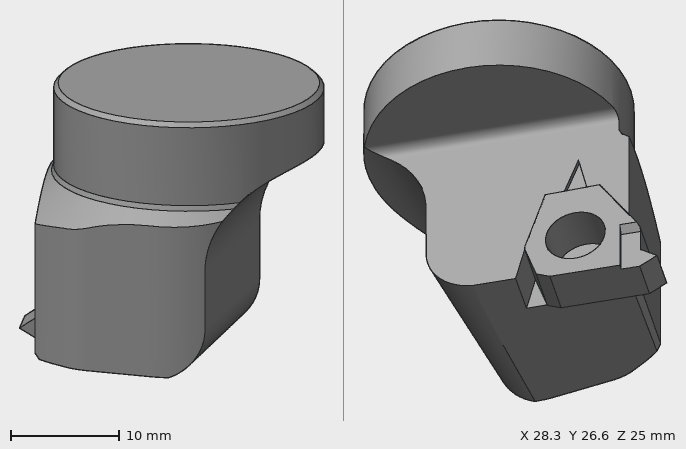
import cadquery as cq
import math

cap_radius = 12.5
cap_chamfer = 0.43
cap_height = 7.97
neck_end = 8.45
neck_end_radius = 12.7
cone_spread = 1.25
total_height = 25.0

front_y = -14.1
bottom_z = -24.47
bottom_rise_z = -24.18
bottom_deep_y = 4.55
flank_chamfer = 0.7
side_x = 5.58
throat_radius = 8.5
throat_start_z = -13.9
side_corner_radius = 4.82

rake_angle = 10
rake_x = -13.4
rake_y = 0.7
roof_z = -6.0
roof_fillet = 1.13
reach = 42.52

insert_thickness = 4.45
insert_proud = 0.17
screw_hole_diameter = 5.67
screw_u = 5.07
screw_z = -20.4
tip_recess = 0.57
tip_point = (-2.55, -24.0)
insert_outline = [
    (-1.0, -20.33), (-1.0, -22.94), tip_point, (-0.9, -total_height),
    (7.48, -total_height), (8.8, -24.45), (9.92, -20.98), (7.95, -14.75), (2.75, -14.57),
]
seat_relief_outline = [(8.8, -24.45), (9.92, -20.98), (11.05, -25.52), (8.8, -25.52)]
chip_groove_outline = [(4.82, -10.95), (3.97, -14.75), (6.25, -14.75)]
chip_groove_depth = 0.43


def place_on_rake(shape):
    """Move a shape from U, V, Z coordinates to the rake face."""
    turned = shape.rotate((0, 0, 0), (0, 0, 1), rake_angle)
    return turned.translate((rake_x, rake_y, 0))


def rake_prism(outline, front_v, back_v):
    """Prism with a U-Z outline, running from front_v back to back_v."""
    plane = cq.Workplane("XZ", origin=(0, front_v, 0))
    return plane.polyline(outline).close().extrude(front_v - back_v)


def make_turned_blank():
    """Cap, neck and cone, wide enough at its foot to hold the whole shank."""
    cone_drop = 8.5
    foot_radius = neck_end_radius + cone_spread * cone_drop
    return (
        cq.Workplane("XZ")
        .moveTo(0, 0)
        .lineTo(cap_radius - cap_chamfer, 0)
        .lineTo(cap_radius, -cap_chamfer)
        .lineTo(cap_radius, -cap_height)
        .lineTo(neck_end_radius, -neck_end)
        .lineTo(foot_radius, -neck_end - cone_drop)
        .lineTo(foot_radius, bottom_z)
        .lineTo(0, bottom_z)
        .close()
        .revolve(360, (0, 0, 0), (0, 1, 0))
    )


def make_shank_prism():
    """Plan outline of the shank, from the neck down."""
    flank_corner_y = -11.65
    flank_corner_x = rake_x + (rake_y - flank_corner_y) * math.tan(math.radians(rake_angle))
    right_radius = 10.05
    right_arc_x = 0.57
    diagonal = right_radius * math.sqrt(0.5)
    right_center_y = front_y + right_radius
    right_end = (right_arc_x + right_radius, right_center_y)
    return (
        cq.Workplane("XY", origin=(0, 0, bottom_z))
        .moveTo(rake_x, rake_y)
        .lineTo(flank_corner_x, flank_corner_y)
        .threePointArc((-9.65, -12.65), (-7.95, -13.47))
        .threePointArc((-6.75, -13.92), (-5.47, front_y))
        .lineTo(right_arc_x, front_y)
        .threePointArc((right_arc_x + diagonal, right_center_y - diagonal), right_end)
        .lineTo(right_end[0], cap_radius)
        .lineTo(rake_x, cap_radius)
        .close()
        .extrude(-cap_height - bottom_z)
    )


def make_side_cut():
    """Space right of the shank: throat arc, straight side and lower corner."""
    throat_x = side_x + throat_radius
    throat_top = throat_start_z + throat_radius
    corner_x = side_x - side_corner_radius
    corner_z = bottom_z + side_corner_radius
    throat_diagonal = throat_radius * math.sqrt(0.5)
    corner_diagonal = side_corner_radius * math.sqrt(0.5)
    return (
        cq.Workplane("XZ")
        .moveTo(throat_x, throat_top)
        .threePointArc((throat_x - throat_diagonal, throat_start_z + throat_diagonal),
                       (side_x, throat_start_z))
        .lineTo(side_x, corner_z)
        .threePointArc((corner_x + corner_diagonal, corner_z - corner_diagonal),
                       (corner_x, bottom_z))
        .lineTo(corner_x, -reach)
        .lineTo(reach, -reach)
        .lineTo(reach, throat_top)
        .close()
        .extrude(reach, both=True)
    )


def make_rake_cut():
    """Space in front of the rake face, under a filleted roof."""
    bend = roof_fillet * (1 - math.sqrt(0.5))
    profile = (
        cq.Workplane("YZ")
        .moveTo(0, -reach)
        .lineTo(0, roof_z - roof_fillet)
        .threePointArc((bend, roof_z - bend), (roof_fillet, roof_z))
        .lineTo(reach, roof_z)
        .lineTo(reach, -reach)
        .close()
    )
    return place_on_rake(profile.extrude(reach, both=True))


def make_bottom_cut():
    """Wedge that tilts the bottom face up toward the front."""
    outline = [(bottom_deep_y, bottom_z), (front_y, bottom_rise_z), (front_y, bottom_z)]
    return cq.Workplane("YZ").polyline(outline).close().extrude(reach, both=True)


def make_flank_chamfer_cut():
    """Chamfer along the lower edge of the left flank."""
    outline = [(0, bottom_z), (0, bottom_z + flank_chamfer), (flank_chamfer, bottom_z)]
    return place_on_rake(rake_prism(outline, 0, -reach))


def make_seat_cut():
    """Pocket for the insert, its corner relief and the chip groove above it."""
    seat_v = insert_proud - insert_thickness
    seat = rake_prism(insert_outline, insert_proud, seat_v)
    relief = rake_prism(seat_relief_outline, insert_proud, seat_v)
    groove = rake_prism(chip_groove_outline, insert_proud, -chip_groove_depth)
    return place_on_rake(seat.union(relief).union(groove))


def make_holder():
    cap_stock = cq.Workplane("XY").circle(cap_radius).extrude(-neck_end)
    envelope = make_shank_prism().union(cap_stock)
    holder = make_turned_blank().intersect(envelope)
    holder = holder.cut(make_side_cut()).cut(make_rake_cut())
    holder = holder.cut(make_bottom_cut()).cut(make_flank_chamfer_cut())
    return holder.cut(make_seat_cut())


def make_tip_recess():
    """Lowered rake at the cutting tip, reached by a slope from above."""
    slope_top_z = -19.95
    slope_bottom_z = -20.7
    recess_end_u = 0.85
    profile = [
        (insert_proud, slope_top_z), (insert_proud - tip_recess, slope_bottom_z),
        (insert_proud - tip_recess, -reach), (insert_proud, -reach),
    ]
    start = cq.Workplane("YZ", origin=(recess_end_u, 0, 0))
    return start.polyline(profile).close().extrude(-reach)


def make_insert():
    blank = rake_prism(insert_outline, insert_proud, insert_proud - insert_thickness)
    hole = (
        cq.Workplane("XZ", origin=(screw_u, insert_proud, screw_z))
        .circle(screw_hole_diameter / 2)
        .extrude(insert_thickness)
    )
    return place_on_rake(blank.cut(hole).cut(make_tip_recess()))


holder = make_holder()
insert = make_insert()
result = cq.Compound.makeCompound([holder.solids().val(), insert.solids().val()])